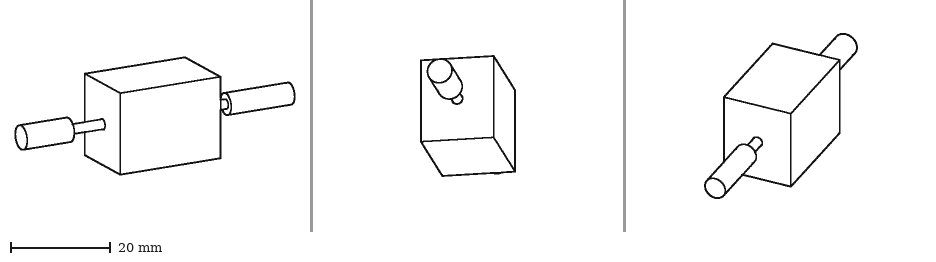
import cadquery as cq

BLOCK_WIDTH = 14.9
BLOCK_LENGTH = 22.9
BLOCK_HEIGHT = 17.15
BORE_DIAMETER = 2.2

ROD_LENGTH = 61.2
SHAFT_DIAMETER = 2.0
FRONT_HEAD_DIAMETER = 5.0
FRONT_HEAD_LENGTH = 10.8
REAR_HEAD_DIAMETER = 4.5
REAR_HEAD_LENGTH = 14.5

FRONT_GAP = 7.8

ROD_FRONT_Y = -ROD_LENGTH / 2
SHAFT_FRONT_Y = ROD_FRONT_Y + FRONT_HEAD_LENGTH
BLOCK_FRONT_Y = SHAFT_FRONT_Y + FRONT_GAP
SHAFT_LENGTH = ROD_LENGTH - FRONT_HEAD_LENGTH - REAR_HEAD_LENGTH
SHAFT_REAR_Y = SHAFT_FRONT_Y + SHAFT_LENGTH


def cylinder_along_y(diameter, length, start_y):
    """Cylinder on the Y axis that runs from start_y toward +Y."""
    plane = cq.Plane(origin=(0, start_y, 0), xDir=(1, 0, 0), normal=(0, 1, 0))
    return cq.Workplane(plane).circle(diameter / 2).extrude(length)


def make_block():
    """Block with a clearance bore through it for the shaft."""
    block_center_y = BLOCK_FRONT_Y + BLOCK_LENGTH / 2
    body = cq.Workplane("XY").box(BLOCK_WIDTH, BLOCK_LENGTH, BLOCK_HEIGHT)
    body = body.translate((0, block_center_y, 0))
    bore = cylinder_along_y(BORE_DIAMETER, BLOCK_LENGTH, BLOCK_FRONT_Y)
    return body.cut(bore)


def make_rod():
    """Thin shaft joining the front and rear heads."""
    front_head = cylinder_along_y(FRONT_HEAD_DIAMETER, FRONT_HEAD_LENGTH, ROD_FRONT_Y)
    shaft = cylinder_along_y(SHAFT_DIAMETER, SHAFT_LENGTH, SHAFT_FRONT_Y)
    rear_head = cylinder_along_y(REAR_HEAD_DIAMETER, REAR_HEAD_LENGTH, SHAFT_REAR_Y)
    return front_head.union(shaft).union(rear_head)


block = make_block()
rod = make_rod()

result = cq.Compound.makeCompound([block.val(), rod.val()])